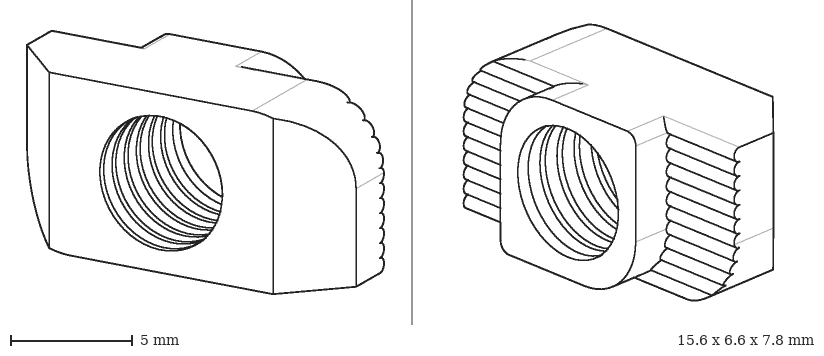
import cadquery as cq
import math

length = 15.6
depth = 6.6
width = 7.8
boss_length = 7.8
boss_height = 1.8

body_corner_radius = 3.51
boss_large_radius = 2.96
boss_small_radius = 0.5
end_chamfer = 2.5

rib_count = 12
rib_pitch = width / rib_count
rib_radius = rib_pitch / 2

minor_radius = 2.9
thread_pitch = 1.0
crest_width = 0.31
groove_width = thread_pitch - crest_width
thread_angle = math.radians(60)
groove_depth = groove_width / 2 / math.tan(thread_angle / 2)
groove_count = 6

front_y = -depth / 2
back_y = depth / 2
shoulder_y = back_y - boss_height
rib_base_y = shoulder_y - rib_radius


def block(size_x, start_y, end_y):
    """Block of full width, centred on X and Z, between two Y positions."""
    middle_y = (start_y + end_y) / 2
    return cq.Workplane("XY").box(size_x, end_y - start_y, width).translate((0, middle_y, 0))


def round_corners(solid, rising_radius, falling_radius):
    """Round the (+X, +Z) and (-X, -Z) corners with one radius and the other two with another."""
    corners = (
        (">X", ">Z", rising_radius),
        ("<X", "<Z", rising_radius),
        ("<X", ">Z", falling_radius),
        (">X", "<Z", falling_radius),
    )
    for x_side, z_side, radius in corners:
        if radius > 0:
            solid = solid.faces(x_side).edges("|Y").edges(z_side).fillet(radius)
    return solid


def make_ribbed_bar():
    """Full-length bar whose +Y side is a row of half-round ribs."""
    bar = (
        cq.Workplane("YZ", origin=(-length / 2, 0, 0))
        .moveTo(front_y, -width / 2)
        .lineTo(rib_base_y, -width / 2)
    )
    for index in range(rib_count):
        rib_start_z = -width / 2 + index * rib_pitch
        bar = bar.threePointArc(
            (shoulder_y, rib_start_z + rib_radius),
            (rib_base_y, rib_start_z + rib_pitch),
        )
    return bar.lineTo(front_y, width / 2).close().extrude(length)


def make_body():
    envelope = round_corners(block(length, front_y, shoulder_y), body_corner_radius, 0)
    bevelled = block(length, front_y, shoulder_y).edges("|Z and <Y").chamfer(end_chamfer)
    return make_ribbed_bar().intersect(envelope).intersect(bevelled)


def make_boss():
    boss = block(boss_length, front_y + end_chamfer, back_y)
    return round_corners(boss, boss_large_radius, boss_small_radius)


def make_threaded_hole():
    """Hole and ring grooves, turned about the Y axis."""
    profile = cq.Workplane("XY").moveTo(0, front_y).lineTo(minor_radius, front_y)
    for index in range(groove_count):
        groove_start_y = front_y + crest_width + index * thread_pitch
        profile = (
            profile.lineTo(minor_radius, groove_start_y)
            .lineTo(minor_radius + groove_depth, groove_start_y + groove_width / 2)
            .lineTo(minor_radius, groove_start_y + groove_width)
        )
    profile = profile.lineTo(minor_radius, back_y).lineTo(0, back_y).close()
    return profile.revolve(360, (0, 0, 0), (0, 1, 0))


result = make_body().union(make_boss()).cut(make_threaded_hole())